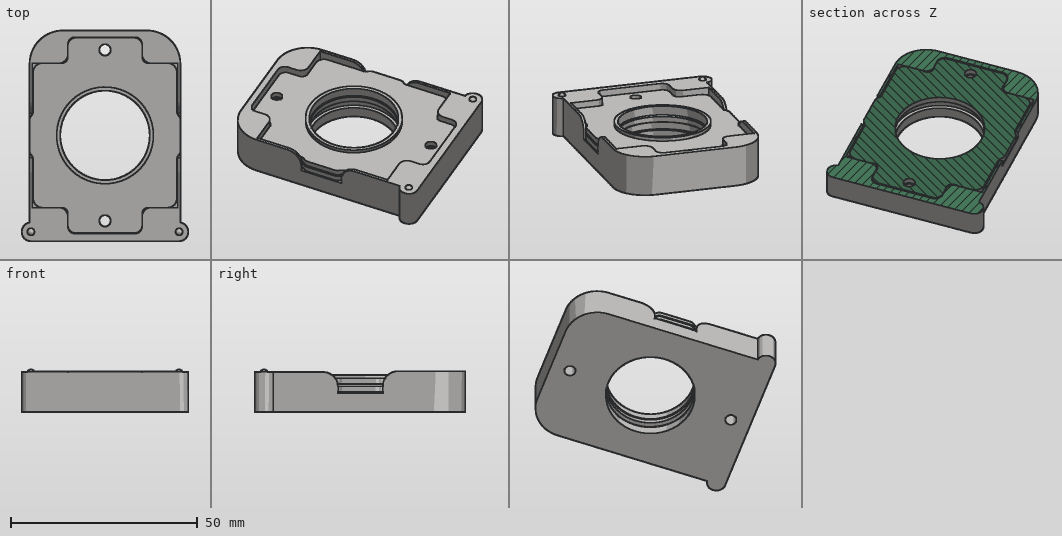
import cadquery as cq
import math

TOTAL_LENGTH = 56.45
HINGE_WIDTH = 44.6
HALF_WIDTH = 20.2
BACK_Y = 28.1
FRONT_Y = BACK_Y - TOTAL_LENGTH
BACK_CORNER_RADIUS = 9.0
BACK_TOP_Z = 11.0
FRONT_TOP_Z = 10.8

LUG_RADIUS = 2.5
LUG_LENGTH = 5.1
LUG_X = HINGE_WIDTH / 2 - LUG_RADIUS
LUG_Y = FRONT_Y + LUG_LENGTH / 2
BALL_RADIUS = 1.0
BALL_TOP_Z = 11.45

POCKET_HALF_WIDTH = 19.4
POCKET_HALF_LENGTH = 19.3
NECK_HALF_WIDTH = 9.95
NECK_END_Y = 26.3
POCKET_FLOOR_Z = 5.15
NECK_END_RADIUS = 2.0
NECK_MOUTH_RADIUS = 2.35

WINDOW_HALF_LENGTH = 6.0
WINDOW_RADIUS = 4.0

BORE_DIAMETER = 23.9
COUNTERBORE_DIAMETER = 25.9
COUNTERBORE_FLOOR_Z = 3.15
HOLE_DIAMETER = 3.0
HOLE_Y = 22.85

PLATE_THICKNESS = 1.5
LOWER_PLATE_Z = 5.5
UPPER_PLATE_Z = 7.5
PLATE_CLEARANCE = 0.2
PLATE_CORNER_RADIUS = 2.35
PLATE_INNER_RADIUS = 1.7
COLLAR_DIAMETER = 25.9
COLLAR_HEIGHT = 0.95

TAB_HALF_FLAT = 3.95
TAB_RADIUS = 2.0


def extruded_box(half_x, half_y, height, bottom_z):
    return (
        cq.Workplane("XY", origin=(0, 0, bottom_z))
        .rect(2 * half_x, 2 * half_y)
        .extrude(height)
    )


def cross(half_width, half_length, neck_end, height, bottom_z):
    """Wide middle with a narrower neck running out at both ends; all corners sharp."""
    middle = extruded_box(half_width, half_length, height, bottom_z)
    necks = extruded_box(NECK_HALF_WIDTH, neck_end, height, bottom_z)
    return middle.union(necks)


def upright_edges(half_x, half_y):
    """Selector for the four upright edges at (+-half_x, +-half_y)."""
    reach = 0.005
    tall = TOTAL_LENGTH
    selector = None
    for x in (-half_x, half_x):
        for y in (-half_y, half_y):
            corner = cq.selectors.BoxSelector((x - reach, y - reach, -tall), (x + reach, y + reach, tall))
            selector = corner if selector is None else selector + corner
    return selector


def bore_and_holes(height):
    cutter = cq.Workplane("XY").circle(BORE_DIAMETER / 2).extrude(height)
    holes = (
        cq.Workplane("XY")
        .pushPoints([(0, -HOLE_Y), (0, HOLE_Y)])
        .circle(HOLE_DIAMETER / 2)
        .extrude(height)
    )
    return cutter.union(holes)


def window_cutter():
    """Straight slot through both walls, flaring out to the front and back rims in convex arcs."""
    flare_y = WINDOW_HALF_LENGTH + WINDOW_RADIUS
    mid_y = flare_y - WINDOW_RADIUS * math.cos(math.pi / 4)
    mid_drop = WINDOW_RADIUS * (1 - math.sin(math.pi / 4))
    return (
        cq.Workplane("YZ", origin=(-HALF_WIDTH, 0, 0))
        .moveTo(-WINDOW_HALF_LENGTH, POCKET_FLOOR_Z)
        .lineTo(WINDOW_HALF_LENGTH, POCKET_FLOOR_Z)
        .lineTo(WINDOW_HALF_LENGTH, BACK_TOP_Z - WINDOW_RADIUS)
        .threePointArc((mid_y, BACK_TOP_Z - mid_drop), (flare_y, BACK_TOP_Z))
        .lineTo(-flare_y, BACK_TOP_Z)
        .lineTo(-flare_y, FRONT_TOP_Z)
        .threePointArc(
            (-mid_y, FRONT_TOP_Z - mid_drop), (-WINDOW_HALF_LENGTH, FRONT_TOP_Z - WINDOW_RADIUS)
        )
        .close()
        .extrude(2 * HALF_WIDTH)
    )


def make_housing():
    body = (
        cq.Workplane("XY")
        .rect(2 * HALF_WIDTH, BACK_Y - LUG_Y)
        .extrude(BACK_TOP_Z)
        .translate((0, (BACK_Y + LUG_Y) / 2, 0))
        .edges("|Z and >Y")
        .fillet(BACK_CORNER_RADIUS)
    )
    hinge_bar = (
        cq.Workplane("XY", origin=(0, LUG_Y, 0))
        .rect(HINGE_WIDTH, LUG_LENGTH)
        .extrude(FRONT_TOP_Z)
        .edges("|Z")
        .fillet(LUG_RADIUS)
    )
    lug_places = [(-LUG_X, LUG_Y), (LUG_X, LUG_Y)]
    balls = (
        cq.Workplane("XY", origin=(0, 0, BALL_TOP_Z - BALL_RADIUS))
        .pushPoints(lug_places)
        .sphere(BALL_RADIUS)
    )
    front_relief = (
        cq.Workplane("XY", origin=(0, FRONT_Y / 2, FRONT_TOP_Z))
        .rect(2 * HALF_WIDTH, -FRONT_Y)
        .extrude(BACK_TOP_Z - FRONT_TOP_Z)
    )
    pocket = cross(
        POCKET_HALF_WIDTH, POCKET_HALF_LENGTH, NECK_END_Y, BACK_TOP_Z - POCKET_FLOOR_Z, POCKET_FLOOR_Z
    )
    pocket = pocket.edges(upright_edges(NECK_HALF_WIDTH, POCKET_HALF_LENGTH)).fillet(NECK_MOUTH_RADIUS)
    pocket = pocket.edges(upright_edges(NECK_HALF_WIDTH, NECK_END_Y)).fillet(NECK_END_RADIUS)
    counterbore = (
        cq.Workplane("XY", origin=(0, 0, COUNTERBORE_FLOOR_Z))
        .circle(COUNTERBORE_DIAMETER / 2)
        .extrude(POCKET_FLOOR_Z - COUNTERBORE_FLOOR_Z)
    )
    return (
        body.union(hinge_bar)
        .cut(front_relief)
        .union(balls)
        .cut(pocket)
        .cut(window_cutter())
        .cut(counterbore)
        .cut(bore_and_holes(BACK_TOP_Z))
    )


def make_plate(bottom_z):
    half_width = POCKET_HALF_WIDTH - PLATE_CLEARANCE
    neck_end = NECK_END_Y - PLATE_CLEARANCE
    plate = cross(half_width, POCKET_HALF_LENGTH, neck_end, PLATE_THICKNESS, bottom_z)
    plate = plate.edges(upright_edges(half_width, POCKET_HALF_LENGTH)).fillet(PLATE_CORNER_RADIUS)
    plate = plate.edges(upright_edges(NECK_HALF_WIDTH, POCKET_HALF_LENGTH)).fillet(PLATE_INNER_RADIUS)
    plate = plate.edges(upright_edges(NECK_HALF_WIDTH, neck_end)).fillet(NECK_END_RADIUS)

    rise = (HALF_WIDTH - half_width) / 2
    run = math.sqrt(TAB_RADIUS**2 - (TAB_RADIUS - rise) ** 2)
    half_angle = math.asin(run / TAB_RADIUS) / 2
    bow_y = TAB_RADIUS * math.sin(half_angle)
    bow_x = TAB_RADIUS * (1 - math.cos(half_angle))
    tip_y = TAB_HALF_FLAT
    root_y = tip_y + 2 * run
    middle = (half_width + rise, tip_y + run)
    tab = (
        cq.Workplane("XY", origin=(0, 0, bottom_z))
        .moveTo(0, root_y)
        .lineTo(half_width, root_y)
        .threePointArc((half_width + bow_x, root_y - bow_y), middle)
        .threePointArc((HALF_WIDTH - bow_x, tip_y + bow_y), (HALF_WIDTH, tip_y))
        .lineTo(HALF_WIDTH, 0)
        .lineTo(0, 0)
        .close()
        .extrude(PLATE_THICKNESS)
    )
    tab = tab.union(tab.mirror("XZ"))
    return plate.union(tab).union(tab.mirror("YZ")).cut(bore_and_holes(BACK_TOP_Z))


def make_collared_plate(bottom_z):
    collar = (
        cq.Workplane("XY", origin=(0, 0, bottom_z + PLATE_THICKNESS))
        .circle(COLLAR_DIAMETER / 2)
        .circle(BORE_DIAMETER / 2)
        .extrude(COLLAR_HEIGHT)
    )
    return make_plate(bottom_z).union(collar)


housing = make_housing()
lower_plate = make_plate(LOWER_PLATE_Z)
upper_plate = make_collared_plate(UPPER_PLATE_Z)

result = cq.Compound.makeCompound([housing.val(), lower_plate.val(), upper_plate.val()])